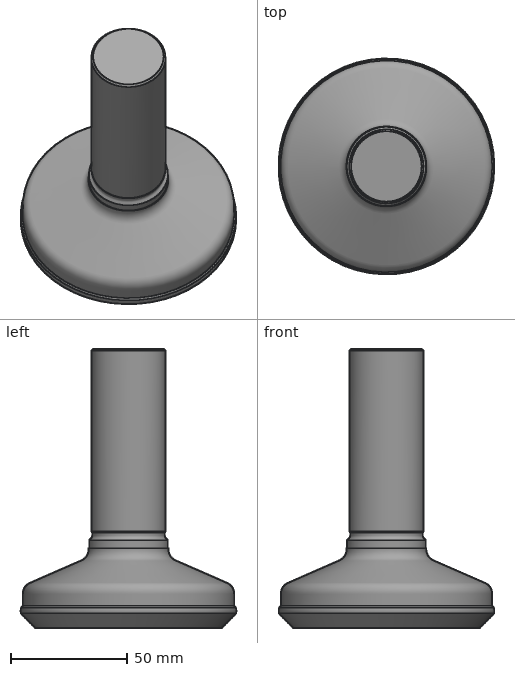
import cadquery as cq
import math

total_height = 120.0

bottom_radius = 40.1
rim_low_radius = 46.3
rim_low_z = 6.2
rim_radius = 92.9 / 2
rim_widest_z = 7.0
rim_high_radius = 46.2
rim_high_z = 8.8
rim_top_z = 9.5

wall_radius = 91.0 / 2
foot_bottom_z = rim_low_z
wall_top_z = 14.8
fillet_radius = 5.0
neck_radius = 34.5 / 2
neck_low_z = 33.7
foot_top_z = 34.2
collar_radius = 34.0 / 2
collar_top_z = 37.8
groove_radius = 31.3 / 2
shaft_radius = 31.9 / 2
groove_low_z = 39.7
groove_high_z = 40.9
shaft_low_z = 41.6
top_chamfer = 0.8

chamfer_angle = math.radians(45)
radial_drop = collar_radius - groove_radius
axial_rise = groove_low_z - collar_top_z
groove_fillet = (axial_rise - radial_drop) / (
    math.sin(chamfer_angle) - (1 - math.cos(chamfer_angle))
)
fillet_start_radius = groove_radius + groove_fillet * (1 - math.cos(chamfer_angle))
fillet_start_z = groove_low_z - groove_fillet * math.sin(chamfer_angle)

shoulder_centre_radius = wall_radius - fillet_radius
flare_centre_radius = neck_radius + fillet_radius
centre_run = shoulder_centre_radius - flare_centre_radius
centre_rise = neck_low_z - wall_top_z
cone_angle = math.atan2(centre_rise, centre_run) - math.asin(
    2 * fillet_radius / math.hypot(centre_run, centre_rise)
)
cone_low_radius = shoulder_centre_radius + fillet_radius * math.sin(cone_angle)
cone_low_z = wall_top_z + fillet_radius * math.cos(cone_angle)
cone_high_radius = flare_centre_radius - fillet_radius * math.sin(cone_angle)
cone_high_z = neck_low_z - fillet_radius * math.cos(cone_angle)


def revolve_profile(profile):
    """Turn a closed (radius, height) outline once around the Z axis."""
    return profile.close().revolve(360, (0, 0, 0), (0, 1, 0))


def make_pad():
    """Pad with a bevelled underside, a bulging rim and a recess that holds the foot."""
    profile = (
        cq.Workplane("XZ")
        .lineTo(bottom_radius, 0)
        .lineTo(rim_low_radius, rim_low_z)
        .threePointArc((rim_radius, rim_widest_z), (rim_high_radius, rim_high_z))
        .lineTo(wall_radius, rim_top_z)
        .lineTo(wall_radius, foot_bottom_z)
        .lineTo(0, foot_bottom_z)
    )
    return revolve_profile(profile)


def make_foot_with_stem():
    """Foot with rounded shoulder, cone and neck, carrying a collar, groove and shaft."""
    profile = (
        cq.Workplane("XZ")
        .moveTo(0, foot_bottom_z)
        .lineTo(wall_radius, foot_bottom_z)
        .lineTo(wall_radius, wall_top_z)
        .tangentArcPoint((cone_low_radius, cone_low_z), relative=False)
        .lineTo(cone_high_radius, cone_high_z)
        .tangentArcPoint((neck_radius, neck_low_z), relative=False)
        .lineTo(neck_radius, foot_top_z)
        .lineTo(collar_radius, foot_top_z)
        .lineTo(collar_radius, collar_top_z)
        .lineTo(fillet_start_radius, fillet_start_z)
        .tangentArcPoint((groove_radius, groove_low_z), relative=False)
        .lineTo(groove_radius, groove_high_z)
        .lineTo(shaft_radius, shaft_low_z)
        .lineTo(shaft_radius, total_height - top_chamfer)
        .lineTo(shaft_radius - top_chamfer, total_height)
        .lineTo(0, total_height)
    )
    return revolve_profile(profile)


pad = make_pad()
foot_with_stem = make_foot_with_stem()

result = cq.Compound.makeCompound([pad.val(), foot_with_stem.val()])